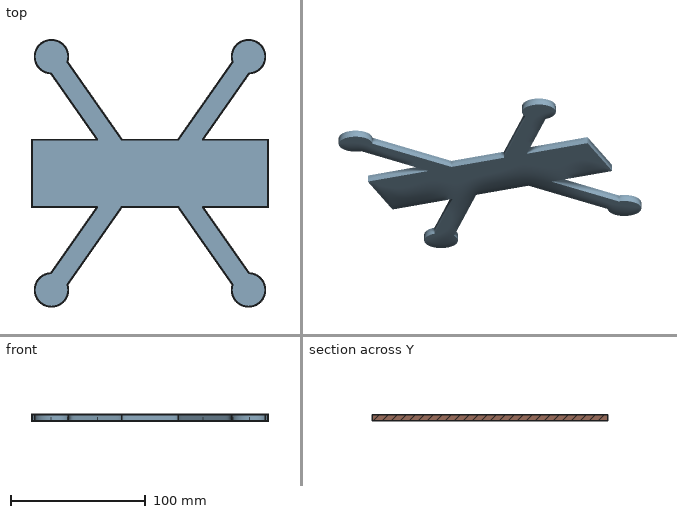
import cadquery as cq
import math

plate_length = 175.0
plate_width = 50.0
thickness = 5.0

arm_root_x = 30.0
arm_root_y = plate_width / 2
arm_length = 75.0
arm_width = 15.0
arm_angle = 55.0
arm_overlap = 15.0
pad_diameter = 25.0

pad_x = arm_root_x + arm_length * math.cos(math.radians(arm_angle))
pad_y = arm_root_y + arm_length * math.sin(math.radians(arm_angle))


def make_plate():
    """Rectangular plate centred on the origin in X and Y, with its base at Z = 0."""
    return cq.Workplane("XY").box(plate_length, plate_width, thickness, centered=(True, True, False))


def make_arm():
    """Arm and round pad in the +X, +Y quadrant."""
    bar = (
        cq.Workplane("XY")
        .box(arm_length + arm_overlap, arm_width, thickness, centered=(False, True, False))
        .translate((-arm_overlap, 0, 0))
        .rotate((0, 0, 0), (0, 0, 1), arm_angle)
        .translate((arm_root_x, arm_root_y, 0))
    )
    pad = cq.Workplane("XY").center(pad_x, pad_y).circle(pad_diameter / 2).extrude(thickness)
    return bar.union(pad)


def add_arms(body):
    """Join four arms, mirrored about the YZ and XZ planes."""
    arm = make_arm()
    arm_pair = arm.union(arm.mirror("YZ"))
    return body.union(arm_pair).union(arm_pair.mirror("XZ"))


result = add_arms(make_plate()).clean()